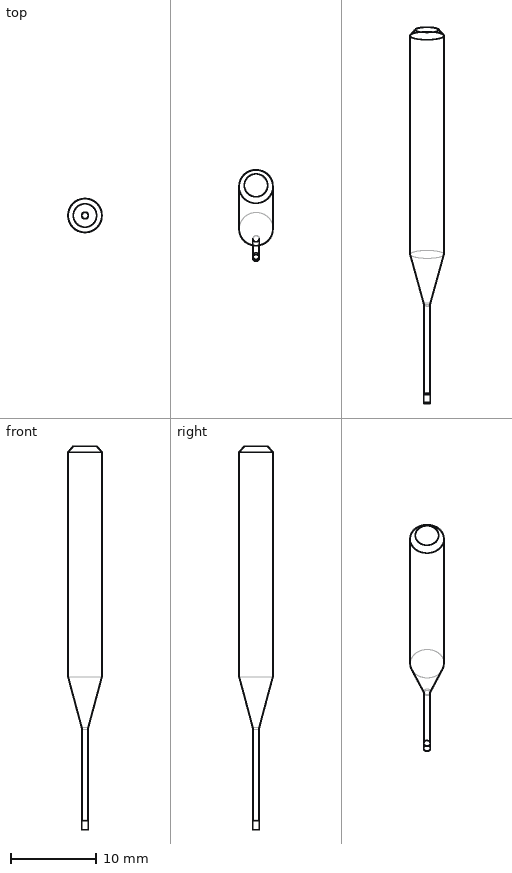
import cadquery as cq
import math

total_length = 45.0
shank_radius = 2.0

chamfer_width = 0.65
chamfer_height = 0.7

head_radius = 0.4
head_length = 1.1

neck_radius = 0.37
relief_height = 0.12
neck_top_z = 11.8

shank_bottom_z = 17.95
blend_height = 0.22
taper_angle = math.radians(15.0)
blend_radius = blend_height / math.sin(taper_angle)


def blend_point(angle):
    """Point (radius, height) on the blend arc where the wall leans out by the given angle."""
    return (
        neck_radius + blend_radius * (1 - math.cos(angle)),
        neck_top_z + blend_radius * math.sin(angle),
    )


def revolve_about_z(profile):
    """Turn a closed radius-height profile about the Z axis."""
    return profile.close().revolve(360, (0, 0, 0), (0, 1, 0))


def make_head():
    """Plain cylindrical cutting head."""
    return cq.Workplane("XY").circle(head_radius).extrude(head_length)


def make_shank():
    """Shank with end chamfer, tapered shoulder and slim neck, seated on the head."""
    profile = (
        cq.Workplane("XZ")
        .moveTo(0, head_length)
        .lineTo(head_radius, head_length)
        .lineTo(neck_radius, head_length + relief_height)
        .lineTo(neck_radius, neck_top_z)
        .threePointArc(blend_point(taper_angle / 2), blend_point(taper_angle))
        .lineTo(shank_radius, shank_bottom_z)
        .lineTo(shank_radius, total_length - chamfer_height)
        .lineTo(shank_radius - chamfer_width, total_length)
        .lineTo(0, total_length)
    )
    return revolve_about_z(profile)


head = make_head()
shank = make_shank()

result = cq.Compound.makeCompound([head.val(), shank.val()])